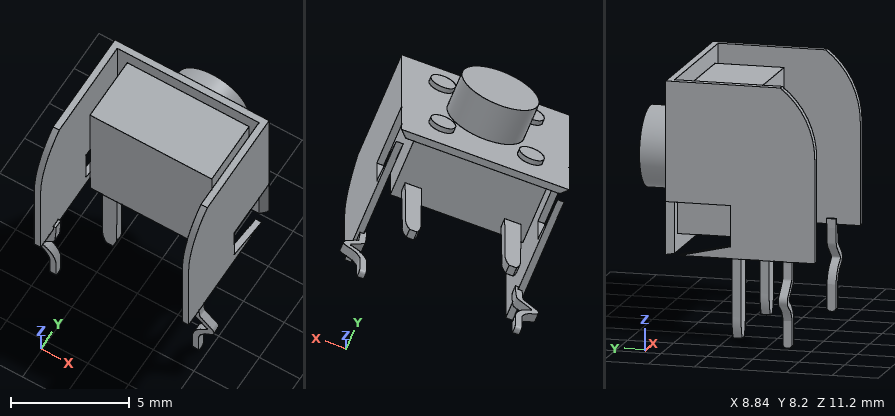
import cadquery as cq


COVER_WIDTH = 7.6
COVER_DEPTH = 6.5
COVER_HEIGHT = 7.5
SHEET = 0.32
LEG_DROP = 3.75
COVER_TOP = LEG_DROP + COVER_HEIGHT
HALF_COVER = COVER_WIDTH / 2
CENTER_Z = LEG_DROP + COVER_HEIGHT / 2
NOSE_DEPTH = 1.51
NOSE_HEIGHT = 3.0

NOTCH_LENGTH = 2.82
NOTCH_HEIGHT = 2.3
TONGUE_ROOT = 0.52
TONGUE_TIP_Y = 0.6

HOUSING_SIZE = 6.0
HOUSING_DEPTH = 3.0
HOUSING_BOTTOM = CENTER_Z - HOUSING_SIZE / 2
BUTTON_DIAMETER = 3.5
BUTTON_PROJECTION = 1.7
RIVET_DIAMETER = 1.12
RIVET_PROJECTION = 0.22
RIVET_PITCH = 4.0

PIN_PITCH = 4.5
PIN_THICKNESS = 0.4
PIN_Y = -2.77
PIN_HALF_WIDTH = 0.37
PIN_NECK_HALF_WIDTH = 0.35
PIN_TIP_HEIGHT = 0.93
PIN_TIP_HALF_FLAT = 0.17
PIN_TIP_BULGE = (0.3, 0.36)

CLIP_WIDTH = 0.4
CLIP_Y = -5.28
CLIP_INNER_X = 3.36
CLIP_OUTER_X = 3.67
CLIP_APEX_X = 4.42
CLIP_TOP = LEG_DROP + 0.26
CLIP_TIP_FILLET = 0.16
CLIP_STRAIGHT_START = 3.6
CLIP_LOWER_BEND = 1.17
INNER_KNEE = ((3.41, 2.95), (3.44, 2.82), (3.52, 2.72))
INNER_APEX = ((4.06, 2.24), (4.08, 2.18), (4.06, 2.13))
INNER_SWEEP = ((3.77, 1.91), (3.5, 1.58), (CLIP_INNER_X, CLIP_LOWER_BEND))
OUTER_SWEEP = ((CLIP_OUTER_X, CLIP_LOWER_BEND), (3.79, 1.47), (3.98, 1.71))
OUTER_APEX = ((4.32, 1.94), (CLIP_APEX_X, 2.16), (4.33, 2.37))
OUTER_KNEE = ((3.79, 2.87), (3.74, 2.92), (3.71, 3.0))


def back_cylinder(diameter, projection):
    """Cylinder along Y from the inside of the back panel to beyond its outer face."""
    return (
        cq.Workplane("XZ", origin=(0, projection, CENTER_Z))
        .circle(diameter / 2)
        .extrude(SHEET + projection)
    )


def rivet_cylinders():
    """Four cylinders in a square around the button."""
    return (
        cq.Workplane("XZ", origin=(0, RIVET_PROJECTION, CENTER_Z))
        .rect(RIVET_PITCH, RIVET_PITCH, forConstruction=True)
        .vertices()
        .circle(RIVET_DIAMETER / 2)
        .extrude(SHEET + RIVET_PROJECTION)
    )


def side_profile():
    """Side outline of the cover, with an arc that runs tangent into the front edge."""
    return (
        cq.Workplane("YZ", origin=(-HALF_COVER, 0, 0))
        .moveTo(0, LEG_DROP)
        .lineTo(-COVER_DEPTH, LEG_DROP)
        .lineTo(-COVER_DEPTH, COVER_TOP - NOSE_HEIGHT)
        .tangentArcPoint((-COVER_DEPTH + NOSE_DEPTH, COVER_TOP), relative=False)
        .lineTo(0, COVER_TOP)
        .close()
        .extrude(COVER_WIDTH)
    )


def wall_notches():
    """Cutter for both wall notches; it leaves mitred edges on the back panel."""
    notch_top = LEG_DROP + NOTCH_HEIGHT
    profile = (
        cq.Workplane("YZ", origin=(-HALF_COVER, 0, 0))
        .polyline([
            (0, LEG_DROP),
            (0, notch_top),
            (-NOTCH_LENGTH, notch_top),
            (-NOTCH_LENGTH, LEG_DROP + TONGUE_ROOT),
            (-TONGUE_TIP_Y, LEG_DROP),
        ])
        .close()
        .extrude(COVER_WIDTH)
    )
    kept_core = (
        cq.Workplane("XY", origin=(0, 0, LEG_DROP))
        .polyline([
            (-HALF_COVER, 0),
            (HALF_COVER, 0),
            (HALF_COVER - SHEET, -SHEET),
            (HALF_COVER - SHEET, -COVER_DEPTH),
            (-HALF_COVER + SHEET, -COVER_DEPTH),
            (-HALF_COVER + SHEET, -SHEET),
        ])
        .close()
        .extrude(COVER_HEIGHT)
    )
    return profile.cut(kept_core)


def make_cover(clips):
    """U-shaped cover with button and rivet holes and a recess for each clip."""
    inside = cq.Workplane("XY").box(
        COVER_WIDTH - 2 * SHEET, COVER_DEPTH, COVER_HEIGHT, centered=(True, False, False)
    ).translate((0, -SHEET - COVER_DEPTH, LEG_DROP))
    cover = side_profile().cut(inside).cut(wall_notches())
    cover = cover.cut(back_cylinder(BUTTON_DIAMETER, BUTTON_PROJECTION)).cut(rivet_cylinders())
    for clip in clips:
        cover = cover.cut(clip)
    return cover


def make_switch():
    """Housing against the back panel, with its button and rivets through the panel."""
    housing = (
        cq.Workplane("XZ", origin=(0, -SHEET, CENTER_Z))
        .rect(HOUSING_SIZE, HOUSING_SIZE)
        .extrude(HOUSING_DEPTH)
    )
    return housing.union(back_cylinder(BUTTON_DIAMETER, BUTTON_PROJECTION)).union(rivet_cylinders())


def make_pin(side):
    """Flat contact pin with a rounded tip, hanging from the housing."""
    bulge_x, bulge_z = PIN_TIP_BULGE
    return (
        cq.Workplane("XZ", origin=(side * PIN_PITCH / 2, PIN_Y, 0))
        .moveTo(-PIN_HALF_WIDTH, HOUSING_BOTTOM)
        .lineTo(-PIN_NECK_HALF_WIDTH, PIN_TIP_HEIGHT)
        .threePointArc((-bulge_x, bulge_z), (-PIN_TIP_HALF_FLAT, 0))
        .lineTo(PIN_TIP_HALF_FLAT, 0)
        .threePointArc((bulge_x, bulge_z), (PIN_NECK_HALF_WIDTH, PIN_TIP_HEIGHT))
        .lineTo(PIN_HALF_WIDTH, HOUSING_BOTTOM)
        .close()
        .extrude(PIN_THICKNESS / 2, both=True)
    )


def add_bends(outline, bends):
    """Continue an outline with straight runs that lead into each bend arc."""
    for start, middle, end in bends:
        outline = outline.lineTo(*start).threePointArc(middle, end)
    return outline


def make_clip(side):
    """Bent spring strip that bulges outwards; side is -1 or +1 along X."""
    outline = (
        cq.Workplane("XZ", origin=(0, CLIP_Y, 0))
        .moveTo(CLIP_INNER_X, CLIP_TOP)
        .lineTo(CLIP_INNER_X, CLIP_STRAIGHT_START)
    )
    outline = add_bends(outline, (INNER_KNEE, INNER_APEX, INNER_SWEEP))
    outline = outline.lineTo(CLIP_INNER_X, 0).lineTo(CLIP_OUTER_X, 0)
    outline = add_bends(outline, (OUTER_SWEEP, OUTER_APEX, OUTER_KNEE))
    clip = (
        outline.lineTo(CLIP_OUTER_X, CLIP_STRAIGHT_START)
        .lineTo(CLIP_OUTER_X, CLIP_TOP)
        .close()
        .extrude(CLIP_WIDTH / 2, both=True)
        .faces("<Z")
        .edges("|X")
        .fillet(CLIP_TIP_FILLET)
    )
    return clip if side > 0 else clip.mirror("YZ")


SIDES = (-1, 1)
switch = make_switch()
pins = [make_pin(side) for side in SIDES]
clips = [make_clip(side) for side in SIDES]
cover = make_cover(clips)

result = cq.Compound.makeCompound([
    cover.val(),
    switch.val(),
    *[pin.val() for pin in pins],
    *[clip.val() for clip in clips],
])